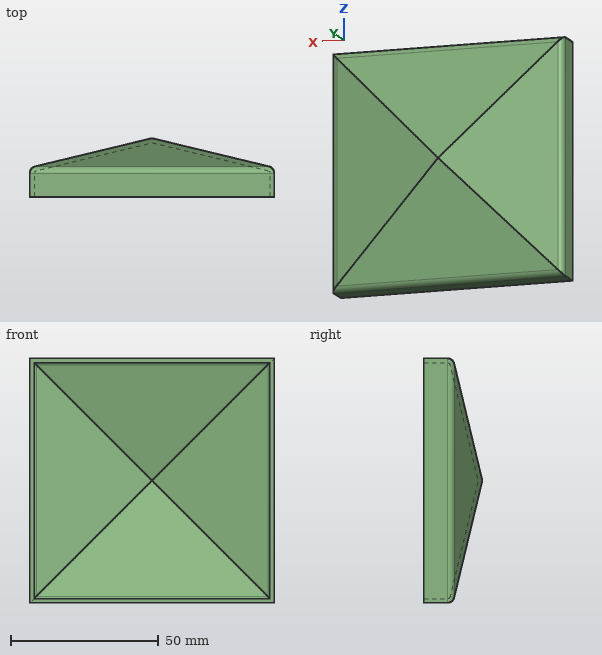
import cadquery as cq
import math

width = 83.0
height = 20.0
eave_height = 10.0
wall = 1.5
eave_radius = 2.5

roof_angle = math.atan((height - eave_height) / (width / 2))
roof_drop = wall / math.cos(roof_angle)
inner_width = width - 2 * wall
inner_apex = height - roof_drop
inner_eave = inner_apex - inner_width / 2 * math.tan(roof_angle)
inner_radius = eave_radius - wall


def house_prism(plane, side, eave, apex, radius):
    """Gabled profile with rounded eaves, extruded evenly about the given plane."""
    half = side / 2
    tangent_length = radius * math.tan((math.pi / 2 - roof_angle) / 2)
    wall_end = eave - tangent_length
    roof_x = half - tangent_length * math.cos(roof_angle)
    roof_y = eave + tangent_length * math.sin(roof_angle)

    mid_angle = (math.pi / 2 - roof_angle) / 2
    mid_x = half - radius + radius * math.cos(mid_angle)
    mid_y = wall_end + radius * math.sin(mid_angle)

    return (
        cq.Workplane(plane)
        .moveTo(-half, 0)
        .lineTo(half, 0)
        .lineTo(half, wall_end)
        .threePointArc((mid_x, mid_y), (roof_x, roof_y))
        .lineTo(0, apex)
        .lineTo(-roof_x, roof_y)
        .threePointArc((-mid_x, mid_y), (-half, wall_end))
        .close()
        .extrude(half, both=True)
    )


def pyramid_block(side, eave, apex, radius):
    """Square block with a pyramid roof: two crossing gabled prisms, mitred at the corners."""
    along_z = house_prism("XY", side, eave, apex, radius)
    along_x = house_prism("ZY", side, eave, apex, radius)
    return along_z.intersect(along_x)


body = pyramid_block(width, eave_height, height, eave_radius)
cavity = pyramid_block(inner_width, inner_eave, inner_apex, inner_radius)

result = body.cut(cavity)